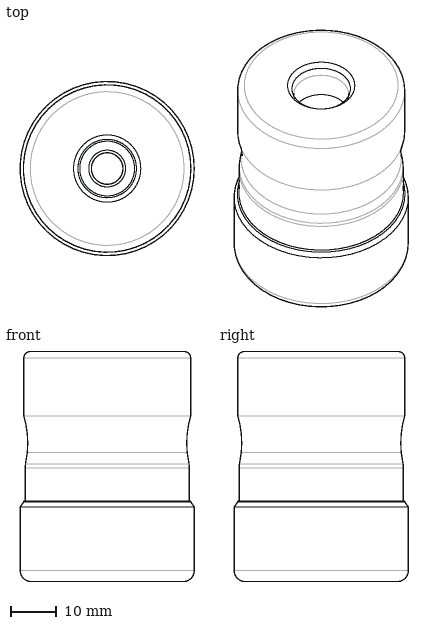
import cadquery as cq
import math

total_height = 50.3

base_diameter = 38.1
base_radius = base_diameter / 2
base_height = 17.65
base_bottom_fillet = 2.4
base_chamfer_bottom = 16.35
base_chamfer_top = 17.35
base_chamfer_top_radius = 18.3
base_top_radius = 18.0
rim_bulge = 0.05
base_hole_radius = 3.4
base_hole_mouth_radius = 4.0

head_radius = 18.25
head_fillet = 1.45
head_bottom = 36.2
neck_radius = 17.4
neck_middle = 30.45
neck_bottom = 28.15
neck_bottom_radius = 17.5
flare_top = 25.75
flare_top_radius = 17.9
shank_top = 24.85
shank_radius = 17.95

bore_radius = 6.0
bore_mouth_radius = 7.35
bore_lead_radius = 6.4
bore_mouth_depth = 0.95
bore_lead_depth = 2.65
bore_depth = 8.55
lower_bore_radius = 6.4


def quarter_arc_middle(center_radius, center_z, fillet, vertical_sign):
    """Middle point of a rounded outer edge in the radius-height plane."""
    offset = fillet * math.sqrt(0.5)
    return (center_radius + offset, center_z + vertical_sign * offset)


def revolve_about_z(profile):
    return profile.close().revolve(360, (0, 0, 0), (0, 1, 0))


def make_base():
    """Round foot with a chamfered shoulder and a central through hole."""
    bottom_flat_radius = base_radius - base_bottom_fillet
    bottom_arc_middle = quarter_arc_middle(bottom_flat_radius, base_bottom_fillet, base_bottom_fillet, -1)
    rim_middle = (
        (base_chamfer_top_radius + base_top_radius) / 2 + rim_bulge,
        (base_chamfer_top + base_height) / 2 + rim_bulge,
    )
    hole_chamfer = base_hole_mouth_radius - base_hole_radius
    profile = (
        cq.Workplane("XZ")
        .moveTo(base_hole_radius, 0)
        .lineTo(bottom_flat_radius, 0)
        .threePointArc(bottom_arc_middle, (base_radius, base_bottom_fillet))
        .lineTo(base_radius, base_chamfer_bottom)
        .lineTo(base_chamfer_top_radius, base_chamfer_top)
        .threePointArc(rim_middle, (base_top_radius, base_height))
        .lineTo(base_hole_mouth_radius, base_height)
        .lineTo(base_hole_radius, base_height - hole_chamfer)
    )
    return revolve_about_z(profile)


def make_sleeve():
    """Waisted sleeve standing on the base, bored right through."""
    head_flat_radius = head_radius - head_fillet
    head_fillet_bottom = total_height - head_fillet
    head_arc_middle = quarter_arc_middle(head_flat_radius, head_fillet_bottom, head_fillet, 1)
    bore_end = total_height - bore_depth
    profile = (
        cq.Workplane("XZ")
        .moveTo(lower_bore_radius, base_height)
        .lineTo(shank_radius, base_height)
        .lineTo(shank_radius, shank_top)
        .lineTo(flare_top_radius, flare_top)
        .lineTo(neck_bottom_radius, neck_bottom)
        .threePointArc((neck_radius, neck_middle), (head_radius, head_bottom))
        .lineTo(head_radius, head_fillet_bottom)
        .threePointArc(head_arc_middle, (head_flat_radius, total_height))
        .lineTo(bore_mouth_radius, total_height)
        .lineTo(bore_lead_radius, total_height - bore_mouth_depth)
        .lineTo(bore_radius, total_height - bore_lead_depth)
        .lineTo(bore_radius, bore_end)
        .lineTo(lower_bore_radius, bore_end)
    )
    return revolve_about_z(profile)


base = make_base()
sleeve = make_sleeve()
result = cq.Compound.makeCompound([base.val(), sleeve.val()])